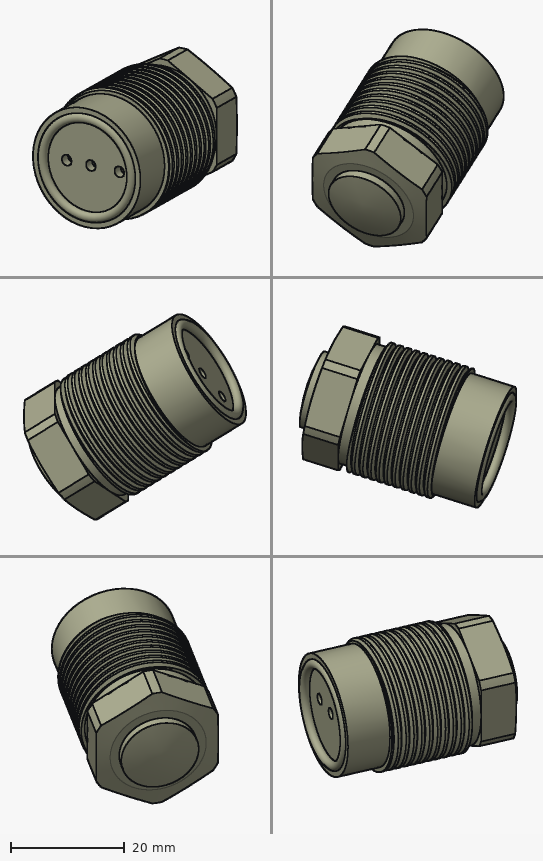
import cadquery as cq
import math


thread_start = 8.0
thread_end = 23.5
hex_start = 25.4
hex_end = 32.5

tail_diameter = 22.3
thread_diameter = 24.0
neck_diameter = 22.04

thread_pitch = 1.5
thread_root_diameter = 22.4
thread_flank_angle = 30.0
run_out_turns = 2
blank_overlength = 10.0
trim_diameter = thread_diameter + 2.0
groove_tool_clearance = 0.1

hex_across_flats = neck_diameter
hex_corner_diameter = 24.5
hex_top_flat_diameter = 17.4
hex_top_drop = 0.57

ring_section_diameter = 1.8
ring_protrusion = 0.6
recess_diameter = 20.2
recess_depth = 1.4
socket_diameter = 2.0
socket_depth = 2.0
socket_positions = [-5.0, 0.0, 5.9]

button_diameter = 14.0
button_rim_height = 1.5
button_dome_height = 0.94


def cylinder(diameter, start, end):
    """Cylinder on the Y axis between two Y positions."""
    plane = cq.Workplane("XZ", origin=(0, start, 0))
    return plane.circle(diameter / 2).extrude(start - end)


def revolve_about_y(profile):
    """Full turn about the Y axis of a closed profile in the XY plane."""
    return profile.revolve(360, (0, 0), (0, 1))


def thread_groove():
    """Right-handed V groove, deepest at the thread root diameter."""
    root_radius = thread_root_diameter / 2
    tool_radius = thread_diameter / 2 + groove_tool_clearance
    half_width = (tool_radius - root_radius) * math.tan(math.radians(thread_flank_angle))
    start = thread_start - run_out_turns * thread_pitch
    length = thread_end - thread_start + 2 * run_out_turns * thread_pitch
    path = cq.Wire.makeHelix(thread_pitch, length, root_radius)
    groove = (
        cq.Workplane("XZ")
        .polyline([(root_radius, 0), (tool_radius, half_width), (tool_radius, -half_width)])
        .close()
        .sweep(cq.Workplane(path), isFrenet=True)
    )
    groove = groove.rotate((0, 0, 0), (1, 0, 0), -90)
    groove = groove.rotate((0, 0, 0), (0, 1, 0), 180)
    return groove.translate((0, start, 0))


def threaded_section():
    """Over-long blank with the groove cut in it, trimmed so that the groove runs out at both ends."""
    blank = cylinder(thread_diameter, thread_start - blank_overlength, thread_end + blank_overlength)
    return blank.cut(thread_groove()).intersect(cylinder(trim_diameter, thread_start, thread_end))


def hex_head():
    """Hexagon with corners on +Z and -Z, rounded by a cylinder and tapered at its rear."""
    corner_radius = hex_corner_diameter / 2
    hexagon = (
        cq.Workplane("XZ", origin=(0, hex_start, 0))
        .polygon(6, hex_across_flats / math.cos(math.pi / 6))
        .extrude(hex_start - hex_end)
        .rotate((0, 0, 0), (0, 1, 0), 30)
    )
    envelope = revolve_about_y(
        cq.Workplane("XY")
        .moveTo(0, hex_start)
        .lineTo(corner_radius, hex_start)
        .lineTo(corner_radius, hex_end - hex_top_drop)
        .lineTo(hex_top_flat_diameter / 2, hex_end)
        .lineTo(0, hex_end)
        .close()
    )
    return hexagon.intersect(envelope)


def make_housing():
    housing = (
        cylinder(tail_diameter, 0, thread_start)
        .union(threaded_section())
        .union(cylinder(neck_diameter, thread_end, hex_start))
        .union(hex_head())
        .cut(cylinder(recess_diameter, 0, recess_depth))
    )
    for x in socket_positions:
        socket = cylinder(socket_diameter, recess_depth, recess_depth + socket_depth)
        housing = housing.cut(socket.translate((x, 0, 0)))
    return housing


def make_sealing_ring():
    """O-ring lying against the wall of the front recess."""
    section_radius = ring_section_diameter / 2
    section_centre = (recess_diameter / 2 - section_radius, section_radius - ring_protrusion)
    return revolve_about_y(cq.Workplane("XY").moveTo(*section_centre).circle(section_radius))


def make_button():
    """Disc with a domed rear face, resting on the hexagon head."""
    radius = button_diameter / 2
    rim = hex_end + button_rim_height
    sphere_radius = (radius**2 + button_dome_height**2) / (2 * button_dome_height)
    top = rim + button_dome_height
    sphere = cq.Workplane("XY").sphere(sphere_radius).translate((0, top - sphere_radius, 0))
    return cylinder(button_diameter, hex_end, top).intersect(sphere)


housing = make_housing()
sealing_ring = make_sealing_ring()
button = make_button()

result = cq.Compound.makeCompound([housing.val(), sealing_ring.val(), button.val()])